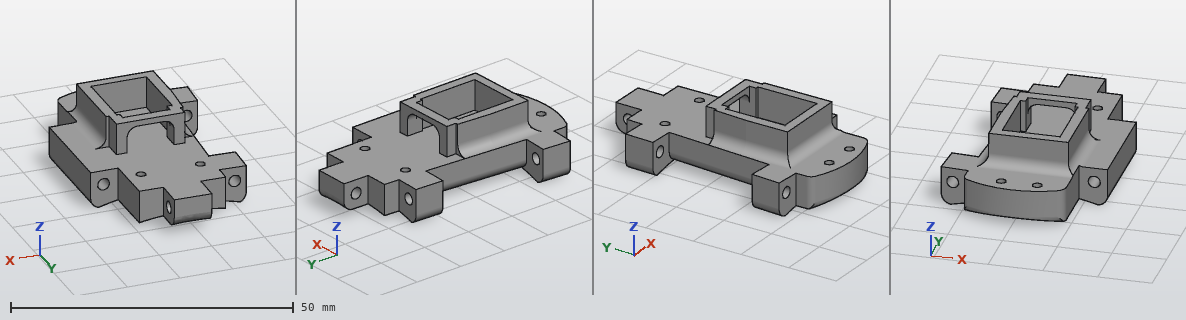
import cadquery as cq
import math

BIG = 95.95

overall_length = 47.95
plate_depth = 7.15
plate_right = 9.15
blend = 2.0
top_left = (-7.15, 42.6)
top_right = (plate_right, 42.3)
left_corner_radius = 1.5
nose_tip_x = 0.0
nose_radius = 19.2

arch_radius = 47.95
arch_top = -5.45
arch_x = -0.2
arch_tilt = 1.4

lug_length = 5.95
lug_reach = 5.0
lug_inset = 1.45
lower_lug_root = (-9.0, 11.55)
lower_tilt = 4.0
upper_lug_root = (-7.3, 39.4)
upper_tilt = 2.6

right_lug_bottom = 12.25
right_lug_top = 32.2
right_lug_end = 14.4

rear_lug_center = 1.15
rear_lug_width = 7.1
rear_lug_root = 41.75
rear_tilt = 1.0
rear_lug_end = overall_length - rear_lug_width / 2 * math.sin(math.radians(rear_tilt))

lug_hole_diameter = 2.2
lug_hole_z = -2.7
side_hole_inset = 2.15
right_hole_inset = 2.45
rear_hole_inset = 2.75

screw_diameter = 1.75
screw_center_x = 0.65
rear_screw_spacing = 11.25
rear_screw_y = 36.0
rear_screw_depth = 2.9
drill_point_angle = 118.0
nose_screw_spacing = 6.6
nose_screw_y = 2.97

tower_height = 6.0
tower_left = -6.55
tower_right = 8.0
tower_front = 9.2
tower_bend_y = 17.9
tower_left_end = 24.95
tower_right_end = 23.5
neck_left = -5.55
neck_right = 7.45
neck_end = 27.0

pocket_left = -4.55
pocket_right = 6.0
pocket_front = 11.1
pocket_step_y = tower_right_end
pocket_end = tower_left_end
window_left = -3.55
window_right = 5.4
lintel_height = 1.1


def box(x0, x1, y0, y1, z0, z1):
    return cq.Workplane("XY").box(x1 - x0, y1 - y0, z1 - z0, centered=False).translate((x0, y0, z0))


def turned(shape, tilt, place):
    """Lean a shape clockwise by tilt degrees about Z, then move its origin to place."""
    return shape.rotate((0, 0, 0), (0, 0, 1), -tilt).translate((place[0], place[1], 0))


def along_edge(root, tilt, distance):
    """Point on a leaning edge, at a distance from its root toward -Y."""
    angle = math.radians(tilt)
    return (root[0] - distance * math.sin(angle), root[1] - distance * math.cos(angle))


left_lugs = [(lower_lug_root, lower_tilt), (upper_lug_root, upper_tilt)]
arch = cq.Workplane("XZ").center(0, arch_top - arch_radius).circle(arch_radius).extrude(BIG, both=True)
arch = turned(arch, arch_tilt, (arch_x, 0))

lower_lug_foot = along_edge(lower_lug_root, lower_tilt, lug_length)
upper_lug_foot = along_edge(upper_lug_root, upper_tilt, lug_length)
plate_left = lower_lug_foot[0]


def nose_y(x):
    return nose_radius - math.sqrt(nose_radius**2 - (x - nose_tip_x) ** 2)


def plate_prism():
    return (
        cq.Workplane("XY")
        .moveTo(*top_left)
        .lineTo(*top_right)
        .lineTo(plate_right, nose_y(plate_right))
        .threePointArc((nose_tip_x, 0), (plate_left, nose_y(plate_left)))
        .lineTo(*lower_lug_foot)
        .lineTo(*lower_lug_root)
        .lineTo(*upper_lug_foot)
        .close()
        .extrude(-plate_depth)
    )


def plate():
    nose_edge = cq.selectors.NearestToPointSelector((nose_tip_x, 0, -plate_depth))
    rounded_below = plate_prism().edges(nose_edge).fillet(blend)
    left_corner = cq.selectors.NearestToPointSelector((plate_left, nose_y(plate_left), -plate_depth / 2))
    right_corner = cq.selectors.NearestToPointSelector((plate_right, nose_y(plate_right), -plate_depth / 2))
    rounded_sides = plate_prism().edges(left_corner).fillet(left_corner_radius)
    rounded_sides = rounded_sides.edges(right_corner).fillet(blend)
    return rounded_below.intersect(rounded_sides).cut(arch)


def side_lug(root, tilt):
    lug = box(-lug_reach, lug_inset, -lug_length, 0, -plate_depth, 0).edges("<X").edges("<Z").fillet(blend)
    return turned(lug, tilt, root).cut(arch)


def right_lug():
    lug = box(plate_right - lug_inset, right_lug_end, right_lug_bottom, right_lug_top, -plate_depth, 0)
    return lug.edges(">X").edges("<Z").fillet(blend).cut(arch)


def rear_lug():
    half_width = rear_lug_width / 2
    lug = box(-half_width, half_width, rear_lug_root - rear_lug_end, 0, -plate_depth, 0)
    lug = turned(lug, rear_tilt, (rear_lug_center, rear_lug_end)).cut(arch)
    return lug.faces(">Y").edges("<Z").fillet(blend)


def flare(place, tilt):
    """Endless wall with its outside face on -X, leaning by tilt, and a concave foot on that face."""
    profile = (
        cq.Workplane("XZ")
        .moveTo(-blend, 0)
        .radiusArc((0, blend), -blend)
        .lineTo(0, tower_height)
        .lineTo(BIG, tower_height)
        .lineTo(BIG, 0)
        .close()
    )
    return turned(profile.extrude(BIG, both=True), tilt, place)


def tower():
    """Tower with concave feet on its left, front and right sides and a plain neck at the rear."""
    middle = (neck_left + neck_right) / 2
    flared = flare((tower_left, tower_bend_y), 0)
    flared = flared.intersect(flare((tower_left, tower_bend_y), lower_tilt))
    flared = flared.intersect(flare((0, tower_front), -90))
    flared = flared.intersect(flare((tower_right, 0), 180))
    left_part = flared.intersect(box(-BIG, middle, 0, tower_left_end, 0, tower_height))
    right_part = flared.intersect(box(middle, BIG, 0, tower_right_end, 0, tower_height))
    neck = box(neck_left, neck_right, tower_bend_y, neck_end, 0, tower_height)
    return left_part.union(right_part).union(neck)


def pocket():
    main = box(pocket_left, pocket_right, pocket_front, pocket_step_y, 0, tower_height)
    rear = box(window_left, window_right, pocket_front, pocket_end, 0, tower_height)
    window = box(window_left, window_right, pocket_front, neck_end, 0, tower_height - lintel_height)
    window = window.edges("|Y and >Z").fillet(blend)
    return main.union(rear).union(window)


def lug_hole(length):
    """Level hole running from the origin toward -Y."""
    hole = cq.Workplane("XZ").center(0, lug_hole_z).circle(lug_hole_diameter / 2)
    return hole.extrude(length)


def side_lug_hole(root, tilt):
    """Hole through one left lug, parallel to the edge that the lug stands on."""
    return turned(lug_hole(lug_length).translate((side_hole_inset - lug_reach, 0, 0)), tilt, root)


def right_lug_hole():
    hole = lug_hole(right_lug_top - right_lug_bottom)
    return hole.translate((right_lug_end - right_hole_inset, right_lug_top, 0))


def rear_lug_hole():
    hole = lug_hole(2 * rear_lug_width).translate((0, rear_lug_width, 0))
    return turned(hole, 90 + rear_tilt, (rear_lug_center, rear_lug_end - rear_hole_inset))


def drilled_hole(x, y):
    """Blind hole with a conical bottom."""
    radius = screw_diameter / 2
    tip = radius / math.tan(math.radians(drill_point_angle / 2))
    half_section = [(0, 0), (radius, 0), (radius, -rear_screw_depth), (0, -rear_screw_depth - tip)]
    hole = cq.Workplane("XZ").polyline(half_section).close().revolve(360, (0, 0, 0), (0, 1, 0))
    return hole.translate((x, y, 0))


def tower_limit():
    """Upright prism over the plate and the right lug, outside which the feet of the tower are cut off."""
    over_plate = plate_prism().translate((0, 0, plate_depth))
    over_lug = box(plate_right - lug_inset, right_lug_end, right_lug_bottom, right_lug_top, 0, plate_depth)
    return over_plate.union(over_lug)


result = plate()
for root, tilt in left_lugs:
    result = result.union(side_lug(root, tilt))

left_edge_middle = (
    (lower_lug_root[0] + upper_lug_foot[0]) / 2,
    (lower_lug_root[1] + upper_lug_foot[1]) / 2,
    -plate_depth,
)
result = result.edges(cq.selectors.NearestToPointSelector(left_edge_middle)).fillet(blend)

result = result.union(right_lug()).union(rear_lug())
result = result.union(tower().intersect(tower_limit())).cut(pocket())

for root, tilt in left_lugs:
    result = result.cut(side_lug_hole(root, tilt))
result = result.cut(right_lug_hole())
result = result.cut(rear_lug_hole())

for side in (-1, 1):
    rear_screw_x = screw_center_x + side * rear_screw_spacing / 2
    result = result.cut(drilled_hole(rear_screw_x, rear_screw_y))
    nose_screw_x = screw_center_x + side * nose_screw_spacing / 2
    nose_hole = cq.Workplane("XY").circle(screw_diameter / 2).extrude(-plate_depth)
    result = result.cut(nose_hole.translate((nose_screw_x, nose_screw_y, 0)))